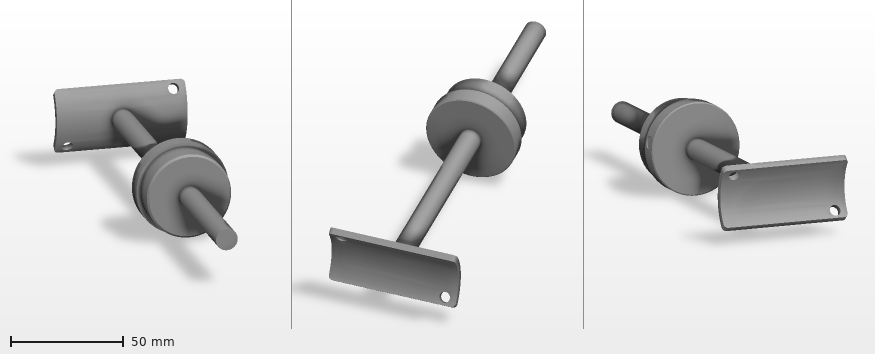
import cadquery as cq
import math

LENGTH = 184.5

SADDLE_INNER_R = 20.0
SADDLE_THICKNESS = 3.0
SADDLE_OUTER_R = SADDLE_INNER_R + SADDLE_THICKNESS
SADDLE_HALF_ANGLE = 40.5
SADDLE_WIDTH = 60.0
SADDLE_CORNER_R = 2.0
SADDLE_AXIS_X = -SADDLE_INNER_R * math.cos(math.radians(SADDLE_HALF_ANGLE))

MOUNT_HOLE_D = 5.0
MOUNT_HOLE_Y = 24.4
MOUNT_HOLE_ANGLE = 30.0

ROD_D = 10.0

FLANGE_X = 101.3
FLANGE_D = 42.5
FLANGE_LENGTH = 8.0
FLANGE_CHAMFER = 0.5
DRUM_D = 38.8
DRUM_LENGTH = 12.0
DRUM_CHAMFER = 1.0

SCREW_D = 5.9
SCREW_X = FLANGE_X + FLANGE_LENGTH / 2
SCREW_TILT = 11.0
SCREW_RECESS = 0.5


def x_cylinder(start_x, length, diameter):
    return cq.Workplane("YZ", origin=(start_x, 0, 0)).circle(diameter / 2).extrude(length)


def saddle_point(radius, angle):
    """Point in the XZ plane at a polar position about the saddle axis."""
    turn = math.radians(angle)
    return (SADDLE_AXIS_X + radius * math.cos(turn), radius * math.sin(turn))


def saddle_bore():
    """Cylinder that fills the hollow side of the saddle."""
    return (
        cq.Workplane("XZ", origin=(SADDLE_AXIS_X, 0, 0))
        .circle(SADDLE_INNER_R)
        .extrude(SADDLE_WIDTH / 2, both=True)
    )


def mount_hole(y, angle):
    turn = math.radians(angle)
    direction = cq.Vector(math.cos(turn), 0, math.sin(turn))
    axis_point = cq.Vector(SADDLE_AXIS_X, y, 0)
    return cq.Solid.makeCylinder(MOUNT_HOLE_D / 2, 2 * SADDLE_OUTER_R, axis_point, direction)


def make_rod():
    """Rod whose end is trimmed flush with the hollow face of the saddle."""
    return x_cylinder(SADDLE_AXIS_X, LENGTH - SADDLE_AXIS_X, ROD_D).cut(saddle_bore())


def make_saddle(rod):
    plate = (
        cq.Workplane("XZ")
        .moveTo(*saddle_point(SADDLE_INNER_R, -SADDLE_HALF_ANGLE))
        .threePointArc(
            saddle_point(SADDLE_INNER_R, 0), saddle_point(SADDLE_INNER_R, SADDLE_HALF_ANGLE)
        )
        .lineTo(*saddle_point(SADDLE_OUTER_R, SADDLE_HALF_ANGLE))
        .threePointArc(
            saddle_point(SADDLE_OUTER_R, 0), saddle_point(SADDLE_OUTER_R, -SADDLE_HALF_ANGLE)
        )
        .close()
        .extrude(SADDLE_WIDTH / 2, both=True)
    )
    plate = plate.faces("<Y or >Y").edges("%LINE").fillet(SADDLE_CORNER_R)
    for side in (-1, 1):
        plate = plate.cut(cq.Workplane(mount_hole(side * MOUNT_HOLE_Y, side * MOUNT_HOLE_ANGLE)))
    return plate.cut(rod)


def screw_axis_cylinder(reach):
    """Cylinder on the set screw axis, from the rod axis out to a given radius."""
    tilt = math.radians(SCREW_TILT)
    direction = cq.Vector(0, math.cos(tilt), math.sin(tilt))
    axis_point = cq.Vector(SCREW_X, 0, 0)
    return cq.Workplane(cq.Solid.makeCylinder(SCREW_D / 2, reach, axis_point, direction))


def make_set_screw(rod):
    """Screw that seats on the rod, with a flat outer end just below the flange rim."""
    return screw_axis_cylinder(FLANGE_D / 2 - SCREW_RECESS).cut(rod)


def make_collar(rod):
    flange = x_cylinder(FLANGE_X, FLANGE_LENGTH, FLANGE_D).faces("<X").chamfer(FLANGE_CHAMFER)
    drum = x_cylinder(FLANGE_X + FLANGE_LENGTH, DRUM_LENGTH, DRUM_D).faces(">X").chamfer(DRUM_CHAMFER)
    screw_hole = screw_axis_cylinder(FLANGE_D)
    return flange.union(drum).cut(rod).cut(screw_hole)


rod = make_rod()
saddle = make_saddle(rod)
set_screw = make_set_screw(rod)
collar = make_collar(rod)

result = cq.Compound.makeCompound([saddle.val(), rod.val(), collar.val(), set_screw.val()])